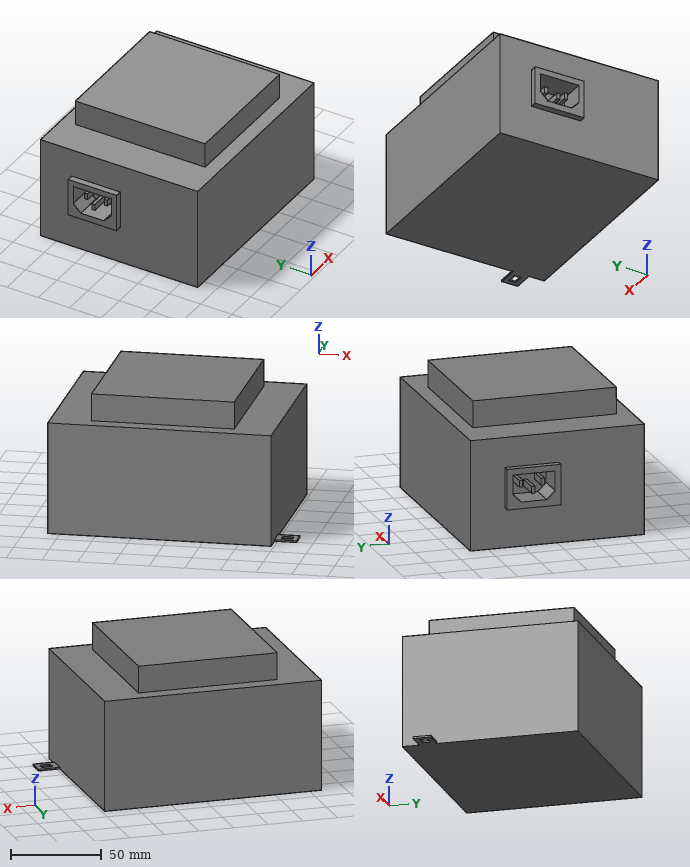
import cadquery as cq

body_length = 125.1
body_width = 100.5
body_height = 63.5

lid_length = 80.0
lid_width = 83.0
lid_height = 15.4
lid_left = 22.8

flange_thickness = 4.0
flange_width = 31.1
flange_height = 23.3
flange_bottom = 22.9
flange_edge_gap = 20.0
flange_y = body_width / 2 - flange_edge_gap - flange_width / 2

socket_width = 24.3
socket_height = 16.0
socket_chamfer = 4.8
socket_depth = 16.0
socket_top_gap = 3.5
socket_top = flange_bottom + flange_height - socket_top_gap

pin_width = 2.0
pin_height = 3.8
outer_pin_spacing = 12.6
pin_pitch = outer_pin_spacing / 2
outer_pin_recess = 4.0
middle_pin_recess = 1.1
outer_pin_drop = 6.6
middle_pin_drop = 10.0

overall_length = 141.4
tab_length = overall_length - flange_thickness - body_length
tab_width = 10.2
tab_thickness = 1.0
tab_edge_gap = 9.8
tab_y = -body_width / 2 + tab_edge_gap + tab_width / 2
slot_length = 6.0
slot_width = 4.0
slot_start = 3.4


def block(left, y_center, bottom, length, width, height):
    """Box given by its left face, Y centre and underside."""
    return (
        cq.Workplane("XY")
        .box(length, width, height, centered=(False, True, False))
        .translate((left, y_center, bottom))
    )


def socket_cavity():
    """Pocket with its two lower corners cut off."""
    cavity = block(
        -flange_thickness, flange_y, socket_top - socket_height,
        socket_depth, socket_width, socket_height,
    )
    return cavity.edges("|X and <Z").chamfer(socket_chamfer)


def pin(y_offset, drop, recess):
    """Contact blade standing on the socket floor."""
    return block(
        recess - flange_thickness, flange_y + y_offset, socket_top - drop - pin_height / 2,
        socket_depth - recess, pin_width, pin_height,
    )


body = block(0, 0, 0, body_length, body_width, body_height)
lid = block(lid_left, 0, body_height, lid_length, lid_width, lid_height)
flange = block(
    -flange_thickness, flange_y, flange_bottom,
    flange_thickness, flange_width, flange_height,
)
tab = block(body_length, tab_y, 0, tab_length, tab_width, tab_thickness)
slot = block(body_length + slot_start, tab_y, 0, slot_length, slot_width, tab_thickness)

result = body.union(lid).union(flange).union(tab.cut(slot)).cut(socket_cavity())
for y_offset, drop, recess in (
    (-pin_pitch, outer_pin_drop, outer_pin_recess),
    (0, middle_pin_drop, middle_pin_recess),
    (pin_pitch, outer_pin_drop, outer_pin_recess),
):
    result = result.union(pin(y_offset, drop, recess))